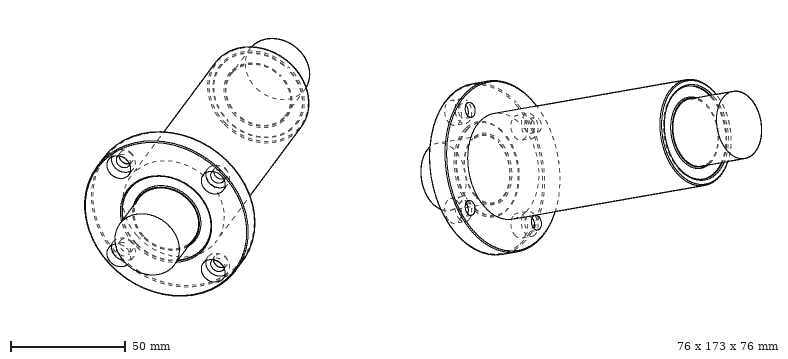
import cadquery as cq

shaft_length = 173.0
shaft_diameter = 30.0
sleeve_length = 123.0
sleeve_diameter = 47.0
sleeve_chamfer = 0.5
flange_diameter = 76.0
flange_thickness = 10.0
flange_chamfer = 0.5

recess_diameter = 41.3
recess_chamfer = 0.5
recess_depth = 1.0
lip_diameter = 31.7
lip_chamfer = 0.5
lip_height = 0.5

hole_circle_diameter = 62.0
hole_diameter = 6.5
counterbore_diameter = 11.0
counterbore_depth = 6.0
hole_count = 4
first_hole_angle = 45.0

sleeve_front = -sleeve_length / 2


def cylinder(diameter, front, length):
    """Solid cylinder about the Y axis, from y = front towards +Y."""
    return cq.Workplane("XZ", origin=(0, front, 0)).circle(diameter / 2).extrude(-length)


def make_flange():
    flange = cylinder(flange_diameter, sleeve_front, flange_thickness)
    flange = flange.edges().chamfer(flange_chamfer)
    holes = (
        cq.Workplane("XZ", origin=(0, sleeve_front, 0))
        .polarArray(hole_circle_diameter / 2, first_hole_angle, 360, hole_count)
    )
    through_holes = holes.circle(hole_diameter / 2).extrude(-flange_thickness)
    counterbores = holes.circle(counterbore_diameter / 2).extrude(-counterbore_depth)
    return flange.cut(through_holes).cut(counterbores)


def make_sleeve():
    return cylinder(sleeve_diameter, sleeve_front, sleeve_length).edges(">Y").chamfer(sleeve_chamfer)


def make_front_recess():
    """Recess in the front end of the sleeve: chamfered rim, flat seal face and raised lip."""
    recess_radius = recess_diameter / 2
    rim_radius = recess_radius + recess_chamfer
    lip_radius = lip_diameter / 2
    face = sleeve_front + recess_depth
    lip_top = face - lip_height
    profile = [
        (0, sleeve_front),
        (rim_radius, sleeve_front),
        (recess_radius, sleeve_front + recess_chamfer),
        (recess_radius, face),
        (lip_radius, face),
        (lip_radius - lip_chamfer, lip_top),
        (0, lip_top),
    ]
    return cq.Workplane("XY").polyline(profile).close().revolve(360, (0, 0, 0), (0, 1, 0))


front_recess = make_front_recess()
back_recess = front_recess.mirror("XZ")
bearing = make_flange().union(make_sleeve()).cut(front_recess).cut(back_recess)

shaft = cylinder(shaft_diameter, -shaft_length / 2, shaft_length)

result = bearing.union(shaft)